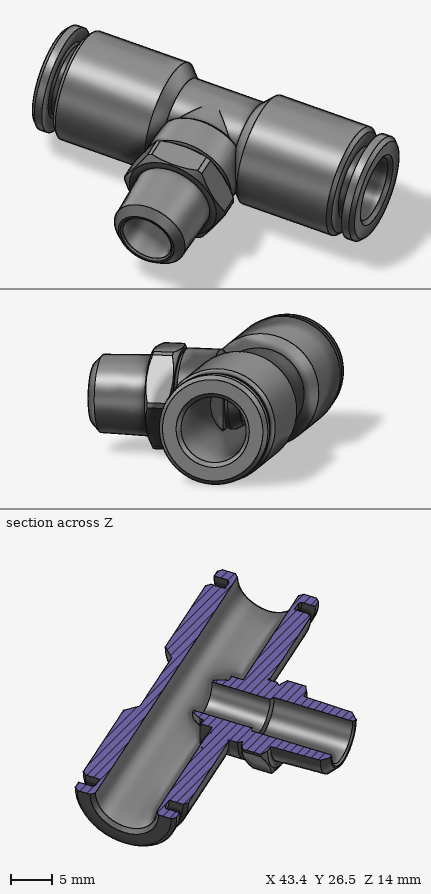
import cadquery as cq
import math


overall_length = 43.4
run_end = overall_length / 2
neck_radius = 5.5
neck_half_length = 4.7
body_radius = 7.0
body_end = 18.75
body_chamfer = 0.5
sleeve_radius = 4.65
collar_radius = 6.75
collar_thickness = 1.5
collar_chamfer = 0.5
collar_root_chamfer = 0.3

tube_radius = 4.05
tube_mouth_chamfer = 0.5
bed_depth = 2.5

branch_end = 19.5
branch_radius = 5.95
branch_shoulder = 3.5
branch_step = branch_radius - neck_radius
hex_start = 8.5
hex_end = 12.0
hex_sides = 6
hex_across_flats = 12.0
hex_corner_radius = 6.75
hex_face_radius = 5.85
hex_chamfer_angle = 30.0
thread_root_radius = 4.97
thread_taper = 1 / 16
thread_chamfer_length = 1.0
thread_face_radius = 3.75

insert_tip = 0.8
insert_tip_radius = 3.15
insert_base_radius = 3.85
insert_base_height = 0.4
bore_radius = 3.25
bore_mouth_chamfer = 0.25
inner_bore_radius = 2.75
bore_cone_length = 0.3
bore_step_depth = hex_start


def revolve_about_x(points):
    """Revolve an (x, radius) outline around the run axis."""
    return cq.Workplane("XY").polyline(points).close().revolve(360, (0, 0, 0), (1, 0, 0))


def revolve_about_branch(points):
    """Revolve a (radius, distance) outline around the branch axis."""
    outline = [(radius, -distance) for radius, distance in points]
    return cq.Workplane("XY").polyline(outline).close().revolve(360, (0, 0, 0), (0, 1, 0))


def make_run():
    """Solid run: one half revolved, then mirrored about the branch."""
    collar_start = run_end - collar_thickness
    cone_length = body_radius - neck_radius
    half = revolve_about_x([
        (0, 0),
        (0, neck_radius),
        (neck_half_length, neck_radius),
        (neck_half_length + cone_length, body_radius),
        (body_end - body_chamfer, body_radius),
        (body_end, body_radius - body_chamfer),
        (body_end, sleeve_radius),
        (collar_start - collar_root_chamfer, sleeve_radius),
        (collar_start, sleeve_radius + collar_root_chamfer),
        (collar_start, collar_radius),
        (run_end - collar_chamfer, collar_radius),
        (run_end, collar_radius - collar_chamfer),
        (run_end, 0),
    ])
    return half.union(half.mirror("YZ"))


def make_branch_stem():
    """Branch barrel, from the run axis to the hexagon."""
    return revolve_about_branch([
        (0, 0),
        (neck_radius, 0),
        (neck_radius, branch_shoulder),
        (branch_radius, branch_shoulder + branch_step),
        (branch_radius, hex_start - branch_step),
        (branch_radius - branch_step, hex_start),
        (0, hex_start),
    ])


def make_hexagon():
    """Hexagon with corners on the X axis, turned down and chamfered on both faces."""
    corner_diameter = hex_across_flats / math.cos(math.pi / hex_sides)
    prism = (
        cq.Workplane("XZ", origin=(0, -hex_start, 0))
        .polygon(hex_sides, corner_diameter)
        .extrude(hex_end - hex_start)
    )
    chamfer_length = (hex_corner_radius - hex_face_radius) * math.tan(math.radians(hex_chamfer_angle))
    envelope = revolve_about_branch([
        (0, hex_start),
        (hex_face_radius, hex_start),
        (hex_corner_radius, hex_start + chamfer_length),
        (hex_corner_radius, hex_end - chamfer_length),
        (hex_face_radius, hex_end),
        (0, hex_end),
    ])
    return prism.intersect(envelope)


def make_thread():
    """Tapered thread body without the helix."""
    chamfer_start = branch_end - thread_chamfer_length
    thread_tip_radius = thread_root_radius - (chamfer_start - hex_end) * thread_taper / 2
    return revolve_about_branch([
        (0, hex_end),
        (thread_root_radius, hex_end),
        (thread_tip_radius, chamfer_start),
        (thread_face_radius, branch_end),
        (0, branch_end),
    ])


def make_tube_bore():
    """Through bore of the run with chamfered mouths, leaving a flat bed at the branch."""
    mouth_start = run_end - tube_mouth_chamfer
    half = revolve_about_x([
        (0, 0),
        (0, tube_radius),
        (mouth_start, tube_radius),
        (run_end, tube_radius + tube_mouth_chamfer),
        (run_end, 0),
    ])
    bed_height = tube_radius
    bed = cq.Workplane("XY").box(2 * neck_half_length, bed_height, 2 * tube_radius)
    bed = bed.translate((0, -bed_depth - bed_height / 2, 0))
    return half.union(half.mirror("YZ")).cut(bed)


def make_insert():
    """Tapered branch tube standing up from the bed into the run bore."""
    return revolve_about_branch([
        (0, insert_tip),
        (insert_tip_radius, insert_tip),
        (insert_base_radius, bed_depth - insert_base_height),
        (insert_base_radius, branch_shoulder),
        (0, branch_shoulder),
    ])


def make_branch_bore():
    """Stepped bore from the thread end to the insert tip."""
    return revolve_about_branch([
        (0, 0),
        (inner_bore_radius, 0),
        (inner_bore_radius, bore_step_depth),
        (bore_radius, bore_step_depth + bore_cone_length),
        (bore_radius, branch_end - bore_mouth_chamfer),
        (bore_radius + bore_mouth_chamfer, branch_end),
        (0, branch_end),
    ])


outside = make_run().union(make_branch_stem()).union(make_hexagon()).union(make_thread())
result = outside.cut(make_tube_bore()).union(make_insert()).cut(make_branch_bore())